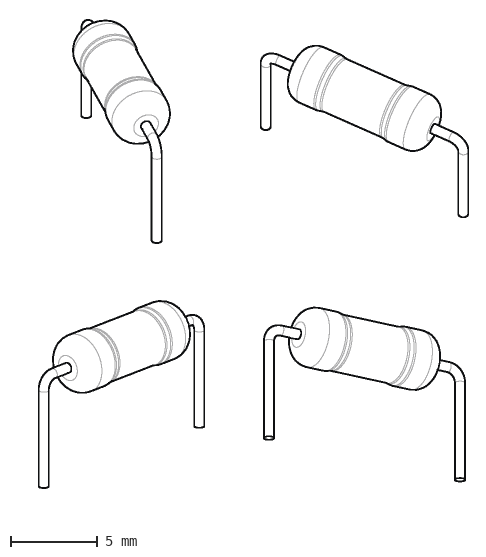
import cadquery as cq


overall_length = 13.6
overall_height = 8.5

body_length = 9.0
cap_diameter = 3.5
waist_step = 0.088
cap_end_fillet = 1.0
cone_outer_x = 2.33
cone_inner_x = 1.96
cone_blend_radius = 0.5

lead_diameter = 0.6
lead_bend_radius = 0.8

cap_radius = cap_diameter / 2
waist_radius = cap_radius - waist_step
half_body = body_length / 2
lead_x = (overall_length - lead_diameter) / 2
lead_bottom_z = cap_radius - overall_height


def ring_edges(solid, radius, x):
    """Select the circular edges of the given radius at both +x and -x."""
    tolerance = 0.001
    rings = [
        edge
        for edge in solid.edges("%CIRCLE").vals()
        if abs(edge.radius() - radius) < tolerance
        and abs(abs(edge.Center().x) - x) < tolerance
    ]
    return solid.newObject(rings)


def make_body():
    """Revolved body: two round-ended caps tapering to a narrower waist."""
    body = (
        cq.Workplane("XY")
        .moveTo(-half_body, 0)
        .lineTo(-half_body, cap_radius)
        .lineTo(-cone_outer_x, cap_radius)
        .lineTo(-cone_inner_x, waist_radius)
        .lineTo(cone_inner_x, waist_radius)
        .lineTo(cone_outer_x, cap_radius)
        .lineTo(half_body, cap_radius)
        .lineTo(half_body, 0)
        .close()
        .revolve(360, (0, 0, 0), (1, 0, 0))
    )
    body = ring_edges(body, cap_radius, cone_outer_x).fillet(cone_blend_radius)
    body = ring_edges(body, waist_radius, cone_inner_x).fillet(cone_blend_radius)
    return ring_edges(body, cap_radius, half_body).fillet(cap_end_fillet)


def make_leads():
    """One round wire through the body, bent down at both ends."""
    bend_x = lead_x - lead_bend_radius
    path = (
        cq.Workplane("XZ")
        .moveTo(-lead_x, lead_bottom_z)
        .lineTo(-lead_x, -lead_bend_radius)
        .tangentArcPoint((-bend_x, 0), relative=False)
        .lineTo(bend_x, 0)
        .tangentArcPoint((lead_x, -lead_bend_radius), relative=False)
        .lineTo(lead_x, lead_bottom_z)
    )
    return (
        cq.Workplane("XY", origin=(-lead_x, 0, lead_bottom_z))
        .circle(lead_diameter / 2)
        .sweep(path)
    )


result = make_body().union(make_leads())